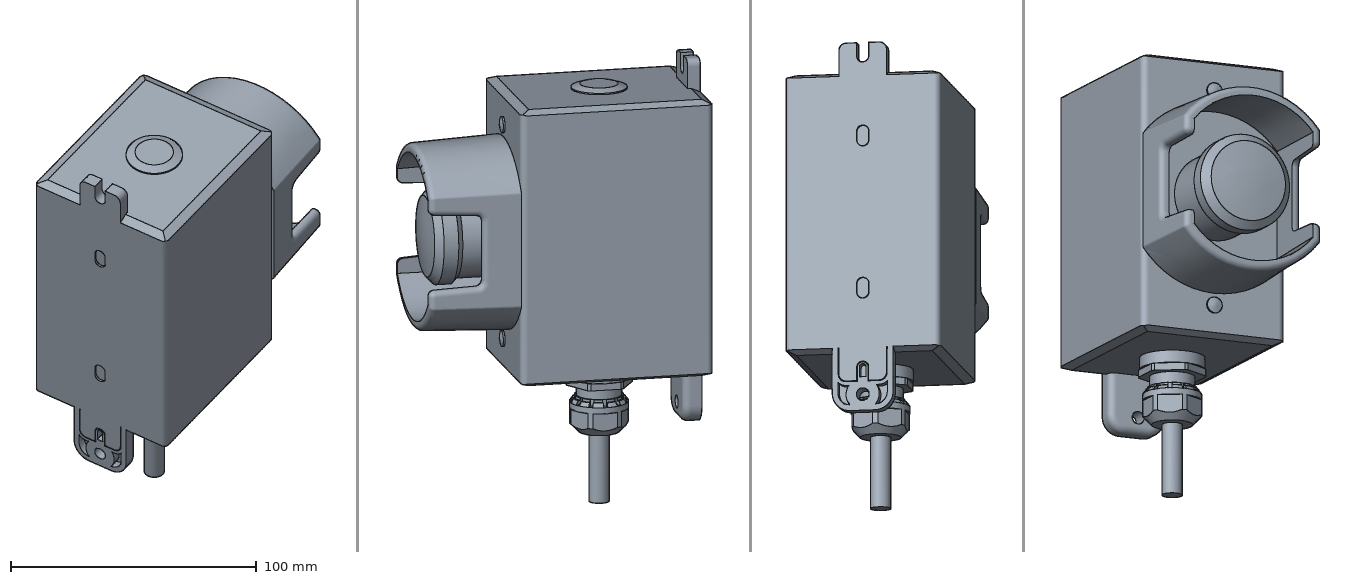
import cadquery as cq
import math

housing_width = 64.0
housing_depth = 80.1
housing_height = 116.0
back_edge_radius = 2.2
front_edge_radius = 2.8
end_chamfer_inset = 3.9
end_chamfer_height = 1.7

half_width = housing_width / 2
mid_depth = housing_depth / 2
end_z = housing_height / 2

recess_width = 5.0
recess_length = 8.5
recess_depth = 1.0
recess_offset_z = 31.5

tab_width = 19.7
tab_reach = 12.0
tab_thickness = 5.4
tab_corner_radius = 3.0
tab_slot_width = 5.0
tab_slot_depth = 8.0
tab_tip_z = end_z + tab_reach

clip_width = 25.2
clip_tip_z = -82.4
clip_thickness = 7.6
clip_corner_radius = 7.5
clip_edge_radius = 3.0
clip_root_z = -(end_z - end_chamfer_height)
clip_gap = 0.28
clip_hole_diameter = 5.2
clip_hole_z = -75.7
clip_pocket_depth = 3.7
clip_rim = 2.5
clip_web_radius = 6.9
clip_seat_wall = 1.9
key_pocket_width = 2.6
key_pocket_top_z = -63
key_pocket_bottom_z = -68.5

plug_radius = 11.5
plug_flat_radius = 7.8
plug_height = 1.9
plug_rim_height = 0.5

collar_diameter = 26.7
collar_length = 5.0
locknut_across_flats = 24.5
locknut_across_bevels = 27.5
locknut_length = 3.0
neck_diameter = 18.5
neck_length = 4.6
claw_base_diameter = 20.0
claw_tip_diameter = 21.7
claw_ring_diameter = 24.1
claw_step_length = 1.1
claw_cone_length = 1.7
claw_ring_length = 2.6
claw_count = 12
claw_groove_width = 1.7
gland_nut_across_flats = 21.9
gland_nut_across_bevels = 24.1
gland_nut_length = 10.0
gland_nut_chamfer = 3.7
cable_diameter = 8.3
cable_length = 57.5

guard_radius = 39.9
guard_length = 37.8
guard_taper = 2.4
guard_wall = 3.7
guard_side_edge_radius = 1.1
guard_rim_radius = 2.5
guard_tip_y = housing_depth + guard_length
notch_floor_y = 95.9
notch_floor_half_height = 14.8
notch_mouth_half_height = 16.0
notch_corner_radius = 2.6
notch_edge_radius = 2.5

button_radius = 20.0
button_neck_radius = 17.8
button_neck_end_y = 101.3
button_head_back_y = 103.5
button_head_front_y = 109.6
button_shoulder_radius = 16.7
button_shoulder_y = 112.8
button_crown_y = 114.5

screw_radius = 3.3
screw_height = 1.7
screw_rim_height = 0.7
screw_offset_z = 44.9


def make_housing():
    """Box with rounded upright edges and a shallow chamfer around both ends."""
    block = cq.Workplane("XY").box(housing_width, housing_depth, housing_height)
    rounded = block.edges("|Z and <Y").fillet(back_edge_radius)
    rounded = rounded.edges("|Z and >Y").fillet(front_edge_radius)
    chamfered = block.faces("|Z").chamfer(end_chamfer_height, end_chamfer_inset)
    return rounded.intersect(chamfered).translate((0, mid_depth, 0))


def back_plane():
    """Sketch plane on the back face, facing -Y; negative extrusions go into +Y."""
    return cq.Workplane(cq.Plane(origin=(0, 0, 0), xDir=(1, 0, 0), normal=(0, -1, 0)))


def make_tabs(margin=0.0):
    """One strip crossing the back face, slotted at both tips; margin grows its outline."""
    slot_width = tab_slot_width - 2 * margin
    slot_end_z = tab_tip_z - tab_slot_depth + margin
    strip = back_plane().rect(tab_width + 2 * margin, 2 * (tab_tip_z + margin)).extrude(-tab_thickness)
    strip = strip.edges("|Y").fillet(tab_corner_radius + margin)
    for side in (1, -1):
        slot_centre_z = side * (slot_end_z + tab_slot_depth)
        slot = back_plane().center(0, slot_centre_z).slot2D(2 * tab_slot_depth, slot_width, 90)
        strip = strip.cut(slot.extrude(-tab_thickness))
    return strip


def clip_outline(inset, top_z):
    """Clip outline with rounded bottom corners, moved inward by inset."""
    half = clip_width / 2 - inset
    bottom_z = clip_tip_z + inset
    radius = clip_corner_radius - inset
    bend = radius * (1 - math.sqrt(0.5))
    return (
        back_plane()
        .moveTo(-half, top_z)
        .lineTo(-half, bottom_z + radius)
        .threePointArc((-half + bend, bottom_z + bend), (-half + radius, bottom_z))
        .lineTo(half - radius, bottom_z)
        .threePointArc((half - bend, bottom_z + bend), (half, bottom_z + radius))
        .lineTo(half, top_z)
        .close()
    )


def make_clip():
    """Clip plate with a seat for the tab, two crescent pockets, a hole and a key pocket."""
    clip = clip_outline(0, clip_root_z).extrude(-clip_thickness)
    clip = clip.faces(">Y").edges("not >Z").fillet(clip_edge_radius)

    crescents = clip_outline(clip_rim, -tab_tip_z).extrude(-clip_pocket_depth)
    crescents = crescents.cut(make_tabs(clip_seat_wall))
    web = back_plane().center(0, clip_hole_z).circle(clip_web_radius).extrude(-clip_pocket_depth)
    hole = back_plane().center(0, clip_hole_z).circle(clip_hole_diameter / 2).extrude(-clip_thickness)

    key_arc_z = key_pocket_top_z - key_pocket_width / 2
    key_pocket = (
        back_plane()
        .moveTo(-key_pocket_width / 2, key_pocket_bottom_z)
        .lineTo(-key_pocket_width / 2, key_arc_z)
        .threePointArc((0, key_pocket_top_z), (key_pocket_width / 2, key_arc_z))
        .lineTo(key_pocket_width / 2, key_pocket_bottom_z)
        .close()
        .extrude(-clip_pocket_depth)
    )
    tab_seat = make_tabs(clip_gap)
    return clip.cut(crescents.cut(web)).cut(hole).cut(tab_seat).cut(key_pocket)


def cut_recesses(body):
    """Shallow oblong recesses above and below the middle of the back face."""
    recesses = (
        back_plane()
        .pushPoints([(0, recess_offset_z), (0, -recess_offset_z)])
        .slot2D(recess_length, recess_width, 90)
        .extrude(-recess_depth)
    )
    return body.cut(recesses)


def make_plug():
    """Low round plug with a sloping border on the top face."""
    profile = (
        cq.Workplane("XZ")
        .lineTo(plug_radius, 0)
        .lineTo(plug_radius, plug_rim_height)
        .lineTo(plug_flat_radius, plug_height)
        .lineTo(0, plug_height)
        .close()
    )
    plug = profile.revolve(360, (0, 0), (0, 1))
    return plug.translate((0, mid_depth, end_z))


def gland_disc(top_z, diameter, length):
    """Cylinder on the gland axis, hanging down from top_z."""
    return cq.Workplane("XY", origin=(0, mid_depth, top_z)).circle(diameter / 2).extrude(-length)


def gland_nut(top_z, across_flats, across_bevels, length):
    """Hexagon on the gland axis with flats facing X and its six corners bevelled."""
    def hexagon(flat_distance, turn):
        corner_distance = flat_distance / math.cos(math.pi / 6)
        plane = cq.Workplane("XY").polygon(6, corner_distance)
        return plane.extrude(-length).rotate((0, 0, 0), (0, 0, 1), turn)

    nut = hexagon(across_flats, 30).intersect(hexagon(across_bevels, 0))
    return nut.translate((0, mid_depth, top_z))


def make_claw_ring(top_z):
    """Ring that widens downward, its sloping top split by grooves."""
    cone_top = -claw_step_length
    ring_top = cone_top - claw_cone_length
    ring_bottom = ring_top - claw_ring_length
    ring = (
        cq.Workplane("XZ")
        .lineTo(claw_base_diameter / 2, 0)
        .lineTo(claw_base_diameter / 2, cone_top)
        .lineTo(claw_tip_diameter / 2, cone_top)
        .lineTo(claw_ring_diameter / 2, ring_top)
        .lineTo(claw_ring_diameter / 2, ring_bottom)
        .lineTo(0, ring_bottom)
        .close()
        .revolve(360, (0, 0), (0, 1))
    )
    grooves = (
        cq.Workplane("XY", origin=(0, 0, ring_top))
        .polarArray(claw_ring_diameter / 2, 0, 360, claw_count)
        .rect(claw_ring_diameter - neck_diameter, claw_groove_width)
        .extrude(claw_cone_length + claw_step_length)
    )
    return ring.cut(grooves).translate((0, mid_depth, top_z))


def make_gland():
    """Collar, locknut, neck, claw ring, gland nut and cable stacked downward."""
    locknut_z = -end_z - collar_length
    neck_z = locknut_z - locknut_length
    claw_z = neck_z - neck_length
    nut_z = claw_z - claw_step_length - claw_cone_length - claw_ring_length
    nut_cone_radius = gland_nut_across_bevels / 2

    nut = gland_nut(nut_z, gland_nut_across_flats, gland_nut_across_bevels, gland_nut_length)
    nut_envelope = gland_disc(nut_z, 2 * nut_cone_radius, gland_nut_length)
    nut_envelope = nut_envelope.faces("<Z").chamfer(gland_nut_chamfer)

    gland = gland_disc(-end_z, collar_diameter, collar_length)
    gland = gland.union(gland_nut(locknut_z, locknut_across_flats, locknut_across_bevels, locknut_length))
    gland = gland.union(gland_disc(neck_z, neck_diameter, neck_length))
    gland = gland.union(make_claw_ring(claw_z))
    gland = gland.union(nut.intersect(nut_envelope))
    return gland.union(gland_disc(-end_z, cable_diameter, cable_length))


def guard_blank(inset):
    """Tapered round block with two flat sides, moved inward by inset."""
    base = cq.Workplane("XZ", origin=(0, housing_depth, 0))
    radius = guard_radius - inset
    cone = base.circle(radius).extrude(-guard_length, taper=guard_taper)
    flats = base.rect(housing_width - 2 * inset, 4 * radius).extrude(-guard_length, taper=guard_taper)
    return cone.intersect(flats)


def make_guard():
    """Open guard shell with a rounded rim and a notch through both flat sides."""
    guard = guard_blank(0)
    guard = guard.edges("not (#Y or <Y or >Y)").fillet(guard_side_edge_radius)
    guard = guard.faces(">Y").edges().fillet(guard_rim_radius)

    mouth_y = 2 * guard_tip_y - notch_floor_y
    slope = (notch_mouth_half_height - notch_floor_half_height) / (guard_tip_y - notch_floor_y)
    mouth_half_height = notch_floor_half_height + slope * (mouth_y - notch_floor_y)
    notch = (
        cq.Workplane("YZ")
        .moveTo(notch_floor_y, -notch_floor_half_height)
        .lineTo(notch_floor_y, notch_floor_half_height)
        .lineTo(mouth_y, mouth_half_height)
        .lineTo(mouth_y, -mouth_half_height)
        .close()
        .extrude(half_width, both=True)
        .edges("|X and <Y")
        .fillet(notch_corner_radius)
    )
    guard = guard.cut(notch)
    inner_corner = (half_width - guard_wall, notch_floor_y - notch_edge_radius, -mouth_half_height)
    outer_corner = (half_width, guard_tip_y - guard_rim_radius, mouth_half_height)
    notch_edges = cq.selectors.BoxSelector(inner_corner, outer_corner)
    guard = guard.edges(notch_edges).fillet(notch_edge_radius)
    return guard.cut(guard_blank(guard_wall))


def make_button():
    """Mushroom button standing on the +Y face, turned about the Y axis."""
    dome_height = button_crown_y - button_shoulder_y
    dome_radius = (button_shoulder_radius**2 + dome_height**2) / (2 * dome_height)
    dome_mid_radius = button_shoulder_radius / 2
    dome_mid_y = button_crown_y - dome_radius + math.sqrt(dome_radius**2 - dome_mid_radius**2)
    profile = (
        cq.Workplane("XY")
        .moveTo(0, housing_depth)
        .lineTo(button_neck_radius, housing_depth)
        .lineTo(button_neck_radius, button_neck_end_y)
        .lineTo(button_radius, button_head_back_y)
        .lineTo(button_radius, button_head_front_y)
        .lineTo(button_shoulder_radius, button_shoulder_y)
        .threePointArc((dome_mid_radius, dome_mid_y), (0, button_crown_y))
        .close()
    )
    return profile.revolve(360, (0, 0), (0, 1))


def make_screw_head(z):
    """Screw head with a low conical top on the +Y face."""
    profile = (
        cq.Workplane("XY")
        .lineTo(screw_radius, 0)
        .lineTo(screw_radius, screw_rim_height)
        .lineTo(0, screw_height)
        .close()
    )
    return profile.revolve(360, (0, 0), (0, 1)).translate((0, housing_depth, z))


result = make_housing()
result = result.union(make_tabs())
result = cut_recesses(result)
result = result.union(make_clip())
result = result.union(make_plug())
result = result.union(make_gland())
result = result.union(make_guard())
result = result.union(make_button())
for screw_z in (screw_offset_z, -screw_offset_z):
    result = result.union(make_screw_head(screw_z))